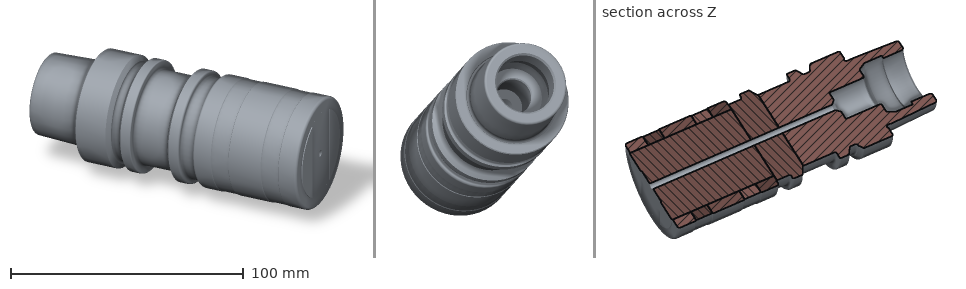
import cadquery as cq
import math

OUTER_RADIUS = 25.0
OVERALL_LENGTH = 129.9
COOLANT_RADIUS = 1.5
CORNER_FILLET = 0.8
CONE_ANGLE = math.radians(30)

TAPER_SMALL_RADIUS = 18.2
TAPER_LARGE_RADIUS = 19.1
NOSE_FILLET = 1.0
TAPER_END_X = 22.9

RELIEF_RADIUS = 19.0
RELIEF_TAPER_LENGTH = 0.8
RELIEF_DEPTH = 0.4
RELIEF_FILLET = 1.0
RELIEF_FACE_RADIUS = 20.3

FLANGE_X = 25.0
FLANGE_CHAMFER = 0.4
GROOVE_START_X = 39.4
GROOVE_STEP_X = 40.9
GROOVE_STEP_RADIUS = 22.6
GROOVE_FLOOR_RADIUS = 21.4
GROOVE_END_X = 46.4
RIB_END_X = 50.9
RIB_FILLET = 0.5

BODY_RADIUS = 21.0

MOUTH_RADIUS = 13.5
MOUTH_LENGTH = 0.9
BORE_RADIUS = 12.7
UNDERCUT_RADIUS = 14.3
UNDERCUT_START_X = 10.1
BORE_FLOOR_X = 21.8
BORE_FLOOR_RADIUS = 12.3
POCKET_RADIUS = 7.7
POCKET_CHAMFER = 0.5
POCKET_FLOOR_X = 39.0
FUNNEL_RADIUS = 3.4

COLLAR_START_X = 66.8
COLLAR_END_X = 73.8
COLLAR_FILLET = 0.8
NECK_RADIUS = 22.5

SLEEVE_START_X = 80.4
SLEEVE_JOINTS_X = [89.4, 97.3, 112.9, 120.8]
SLEEVE_END_X = 129.5
SLEEVE_FILLET = 1.2
JOINT_CHAMFER = 0.3
BAND_RADIUS = OUTER_RADIUS - JOINT_CHAMFER

INSERT_RADIUS = 19.5
SLOT_WIDTH = 17.9


def turn(outline):
    """Revolve a closed (x, radius) outline about the X axis."""
    return outline.close().revolve(360, (0, 0, 0), (1, 0, 0))


def tube(start_x, end_x, outer_radius, inner_radius):
    """Ring along the X axis."""
    return (
        cq.Workplane("YZ", origin=(start_x, 0, 0))
        .circle(outer_radius)
        .circle(inner_radius)
        .extrude(end_x - start_x)
    )


def make_shank():
    """Outside of the shank from the taper nose to the collar, solid inside."""
    relief_floor_x = FLANGE_X + RELIEF_DEPTH
    flank_corner_x = GROOVE_END_X - (OUTER_RADIUS - GROOVE_FLOOR_RADIUS) * math.tan(CONE_ANGLE)
    flank_setback = CORNER_FILLET * math.tan((math.pi / 2 - CONE_ANGLE) / 2)
    flank_fillet_end = (
        flank_corner_x + flank_setback * math.sin(CONE_ANGLE),
        GROOVE_FLOOR_RADIUS + flank_setback * math.cos(CONE_ANGLE),
    )
    outline = (
        cq.Workplane("XY")
        .moveTo(0, 0)
        .lineTo(0, TAPER_SMALL_RADIUS - NOSE_FILLET)
        .radiusArc((NOSE_FILLET, TAPER_SMALL_RADIUS), NOSE_FILLET)
        .lineTo(TAPER_END_X, TAPER_LARGE_RADIUS)
        .lineTo(TAPER_END_X + RELIEF_TAPER_LENGTH, RELIEF_RADIUS)
        .lineTo(relief_floor_x - RELIEF_FILLET, RELIEF_RADIUS)
        .radiusArc((relief_floor_x, RELIEF_RADIUS + RELIEF_FILLET), -RELIEF_FILLET)
        .lineTo(FLANGE_X, RELIEF_FACE_RADIUS)
        .lineTo(FLANGE_X, OUTER_RADIUS - FLANGE_CHAMFER)
        .lineTo(FLANGE_X + FLANGE_CHAMFER, OUTER_RADIUS)
        .lineTo(GROOVE_START_X, OUTER_RADIUS)
        .lineTo(GROOVE_STEP_X, GROOVE_STEP_RADIUS)
        .lineTo(GROOVE_STEP_X, GROOVE_FLOOR_RADIUS + CORNER_FILLET)
        .radiusArc((GROOVE_STEP_X + CORNER_FILLET, GROOVE_FLOOR_RADIUS), -CORNER_FILLET)
        .lineTo(flank_corner_x - flank_setback, GROOVE_FLOOR_RADIUS)
        .radiusArc(flank_fillet_end, -CORNER_FILLET)
        .lineTo(GROOVE_END_X, OUTER_RADIUS)
        .lineTo(RIB_END_X - RIB_FILLET, OUTER_RADIUS)
        .radiusArc((RIB_END_X, OUTER_RADIUS - RIB_FILLET), RIB_FILLET)
        .lineTo(RIB_END_X, BODY_RADIUS + CORNER_FILLET)
        .radiusArc((RIB_END_X + CORNER_FILLET, BODY_RADIUS), -CORNER_FILLET)
        .lineTo(COLLAR_START_X, BODY_RADIUS)
        .lineTo(COLLAR_START_X, 0)
    )
    return turn(outline)


def make_shank_bore():
    """Bore with its undercut, pocket and funnel, running into the coolant hole."""
    corner_length = (UNDERCUT_RADIUS - BORE_FLOOR_RADIUS) / math.tan(CONE_ANGLE)
    funnel_length = FUNNEL_RADIUS - COOLANT_RADIUS
    outline = (
        cq.Workplane("XY")
        .moveTo(0, 0)
        .lineTo(0, MOUTH_RADIUS)
        .lineTo(MOUTH_LENGTH, BORE_RADIUS)
        .lineTo(UNDERCUT_START_X, BORE_RADIUS)
        .lineTo(UNDERCUT_START_X, UNDERCUT_RADIUS)
        .lineTo(BORE_FLOOR_X - corner_length, UNDERCUT_RADIUS)
        .lineTo(BORE_FLOOR_X, BORE_FLOOR_RADIUS)
        .lineTo(BORE_FLOOR_X, POCKET_RADIUS + POCKET_CHAMFER)
        .lineTo(BORE_FLOOR_X + POCKET_CHAMFER, POCKET_RADIUS)
        .lineTo(POCKET_FLOOR_X, POCKET_RADIUS)
        .lineTo(POCKET_FLOOR_X, FUNNEL_RADIUS)
        .lineTo(POCKET_FLOOR_X + funnel_length, COOLANT_RADIUS)
        .lineTo(COLLAR_START_X, COOLANT_RADIUS)
        .lineTo(COLLAR_START_X, 0)
    )
    return turn(outline)


def make_holder():
    """Taper, flange and slim body, with the stepped bore."""
    return make_shank().cut(make_shank_bore())


def make_collar():
    """Conical collar and its neck, drilled for coolant."""
    rim_x = COLLAR_START_X + (OUTER_RADIUS - BODY_RADIUS) * math.tan(CONE_ANGLE)
    outline = (
        cq.Workplane("XY")
        .moveTo(COLLAR_START_X, COOLANT_RADIUS)
        .lineTo(COLLAR_START_X, BODY_RADIUS)
        .lineTo(rim_x, OUTER_RADIUS)
        .lineTo(COLLAR_END_X - COLLAR_FILLET, OUTER_RADIUS)
        .radiusArc((COLLAR_END_X, OUTER_RADIUS - COLLAR_FILLET), COLLAR_FILLET)
        .lineTo(COLLAR_END_X, NECK_RADIUS + CORNER_FILLET)
        .radiusArc((COLLAR_END_X + CORNER_FILLET, NECK_RADIUS), -CORNER_FILLET)
        .lineTo(SLEEVE_START_X, NECK_RADIUS)
        .lineTo(SLEEVE_START_X, COOLANT_RADIUS)
    )
    return turn(outline)


def outer_rim(ring, end_face):
    """Outer edge of a ring at one of its end faces."""
    return ring.faces(end_face).edges(cq.selectors.RadiusNthSelector(-1))


def make_sleeve_rings():
    """Five rings end to end: the sleeve ends are rounded, full-size rings are chamfered at the joints."""
    edges_x = [SLEEVE_START_X, *SLEEVE_JOINTS_X, SLEEVE_END_X]
    rings = []
    for index, (start_x, end_x) in enumerate(zip(edges_x, edges_x[1:])):
        is_band = index % 2 == 1
        radius = BAND_RADIUS if is_band else OUTER_RADIUS
        ring = tube(start_x, end_x, radius, INSERT_RADIUS)
        for end_face, rim_x in (("<X", start_x), (">X", end_x)):
            if rim_x in (SLEEVE_START_X, SLEEVE_END_X):
                ring = outer_rim(ring, end_face).fillet(SLEEVE_FILLET)
            elif not is_band:
                ring = outer_rim(ring, end_face).chamfer(JOINT_CHAMFER)
        rings.append(ring.val())
    return rings


def make_insert():
    """Core of the sleeve, drilled for coolant, with the drive slot in its end."""
    insert = tube(SLEEVE_START_X, OVERALL_LENGTH, INSERT_RADIUS, COOLANT_RADIUS)
    slot = (
        cq.Workplane("YZ", origin=(SLEEVE_END_X, 0, 0))
        .rect(SLOT_WIDTH, 2 * INSERT_RADIUS)
        .extrude(OVERALL_LENGTH - SLEEVE_END_X)
    )
    return insert.cut(slot)


holder = make_holder()
collar = make_collar()
sleeve_rings = make_sleeve_rings()
insert = make_insert()

result = cq.Compound.makeCompound([holder.val(), collar.val(), *sleeve_rings, insert.val()])